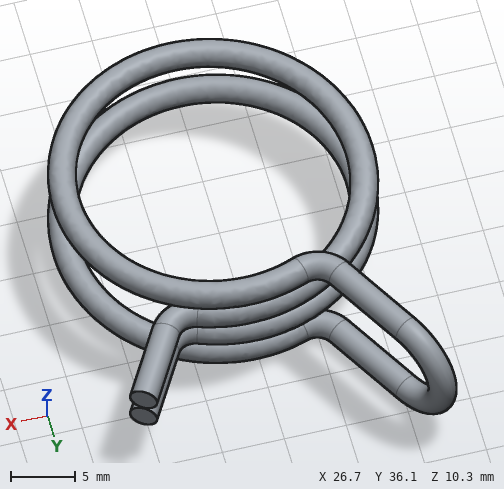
import cadquery as cq
import math

wire_radius = 1.1
coil_outer_radius = 12.9
coil_radius = coil_outer_radius - wire_radius
bend_radius = 2.38
overall_length = 36.05
overall_height = 10.3

free_end_angle = 60.0
free_end_reach = 20.63
free_end_height = 1.15
loop_angle = 120.0
loop_tip_y = overall_length - coil_outer_radius - wire_radius
loop_tip_reach = loop_tip_y / math.sin(math.radians(loop_angle))
loop_height = overall_height / 2 - wire_radius

bend_centre_reach = coil_radius + bend_radius
bend_offset_angle = math.degrees(math.asin(bend_radius / bend_centre_reach))
leg_start_reach = bend_centre_reach * math.cos(math.radians(bend_offset_angle))

coil_start_angle = free_end_angle + bend_offset_angle
coil_turn = 360.0 + loop_angle - free_end_angle - 2 * bend_offset_angle
coil_rise = loop_height - free_end_height


def polar(reach, angle, height):
    """Point at a distance and angle (degrees) about the coil axis."""
    theta = math.radians(angle)
    return cq.Vector(reach * math.cos(theta), reach * math.sin(theta), height)


def outward_bend(leg_angle, side, height):
    """Arc from a radial leg to the coil; side is +1 or -1 for the turning direction."""
    coil_angle = leg_angle + side * bend_offset_angle
    centre = polar(bend_centre_reach, coil_angle, height)
    leg_end = polar(leg_start_reach, leg_angle, height)
    coil_end = polar(coil_radius, coil_angle, height)
    toward_middle = ((leg_end + coil_end) * 0.5 - centre).normalized()
    return cq.Edge.makeThreePointArc(leg_end, centre + toward_middle * bend_radius, coil_end)


def coil():
    """Rising helix from the free-end bend round to the loop bend."""
    pitch = coil_rise * 360.0 / coil_turn
    helix = cq.Wire.makeHelix(pitch, coil_rise, coil_radius)
    placed = helix.rotate(cq.Vector(0, 0, 0), cq.Vector(0, 0, 1), coil_start_angle)
    return placed.translate(cq.Vector(0, 0, free_end_height)).Edges()[0]


def leg(angle, outer_reach, height):
    """Straight radial stretch beyond an outward bend."""
    return cq.Edge.makeLine(polar(leg_start_reach, angle, height), polar(outer_reach, angle, height))


def loop_end():
    """Semicircle closing the handle, from the upper leg round to the lower one."""
    centre_reach = loop_tip_reach - loop_height
    return cq.Edge.makeThreePointArc(
        polar(centre_reach, loop_angle, loop_height),
        polar(loop_tip_reach, loop_angle, 0),
        polar(centre_reach, loop_angle, -loop_height),
    )


upper_edges = [
    leg(free_end_angle, free_end_reach, free_end_height),
    outward_bend(free_end_angle, 1, free_end_height),
    coil(),
    outward_bend(loop_angle, -1, loop_height),
    leg(loop_angle, loop_tip_reach - loop_height, loop_height),
]
lower_edges = [edge.mirror("XY") for edge in reversed(upper_edges)]
centreline = cq.Wire.assembleEdges(upper_edges + [loop_end()] + lower_edges)

end_face_plane = cq.Plane(
    origin=polar(free_end_reach, free_end_angle, free_end_height).toTuple(),
    xDir=(0, 0, 1),
    normal=polar(-1, free_end_angle, 0).toTuple(),
)
end_face = cq.Workplane(end_face_plane).circle(wire_radius)
result = end_face.sweep(centreline, isFrenet=True, transition="transformed")